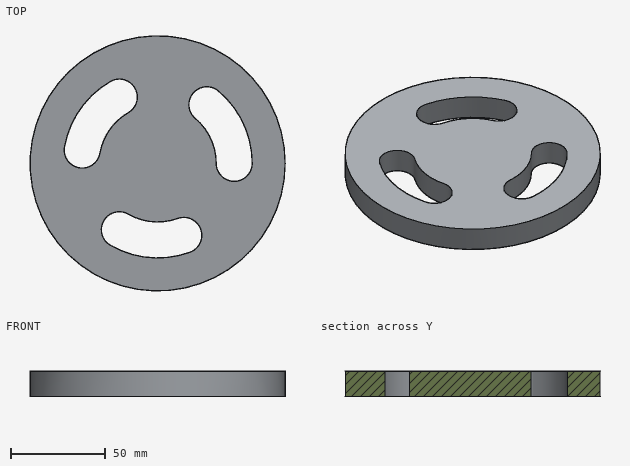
import cadquery as cq
import math

disc_diameter = 134.8
disc_thickness = 13.5

slot_count = 3
slot_path_radius = 40.5
slot_width = 18.9
slot_start_angle = 0
slot_sweep_angle = 50


def polar(radius, angle):
    """Point at a radius and an angle in degrees about the disc axis."""
    return (radius * math.cos(math.radians(angle)), radius * math.sin(math.radians(angle)))


def curved_slot(start):
    """Solid that cuts one arc-shaped slot with rounded ends."""
    end = start + slot_sweep_angle
    middle = (start + end) / 2
    end_radius = slot_width / 2
    inner_radius = slot_path_radius - end_radius
    outer_radius = slot_path_radius + end_radius
    band = (
        cq.Workplane("XY")
        .moveTo(*polar(outer_radius, start))
        .threePointArc(polar(outer_radius, middle), polar(outer_radius, end))
        .lineTo(*polar(inner_radius, end))
        .threePointArc(polar(inner_radius, middle), polar(inner_radius, start))
        .close()
        .extrude(disc_thickness)
    )
    end_centres = [polar(slot_path_radius, start), polar(slot_path_radius, end)]
    rounded_ends = cq.Workplane("XY").pushPoints(end_centres).circle(end_radius).extrude(disc_thickness)
    return band.union(rounded_ends)


result = cq.Workplane("XY").circle(disc_diameter / 2).extrude(disc_thickness)
for index in range(slot_count):
    result = result.cut(curved_slot(slot_start_angle + index * 360 / slot_count))